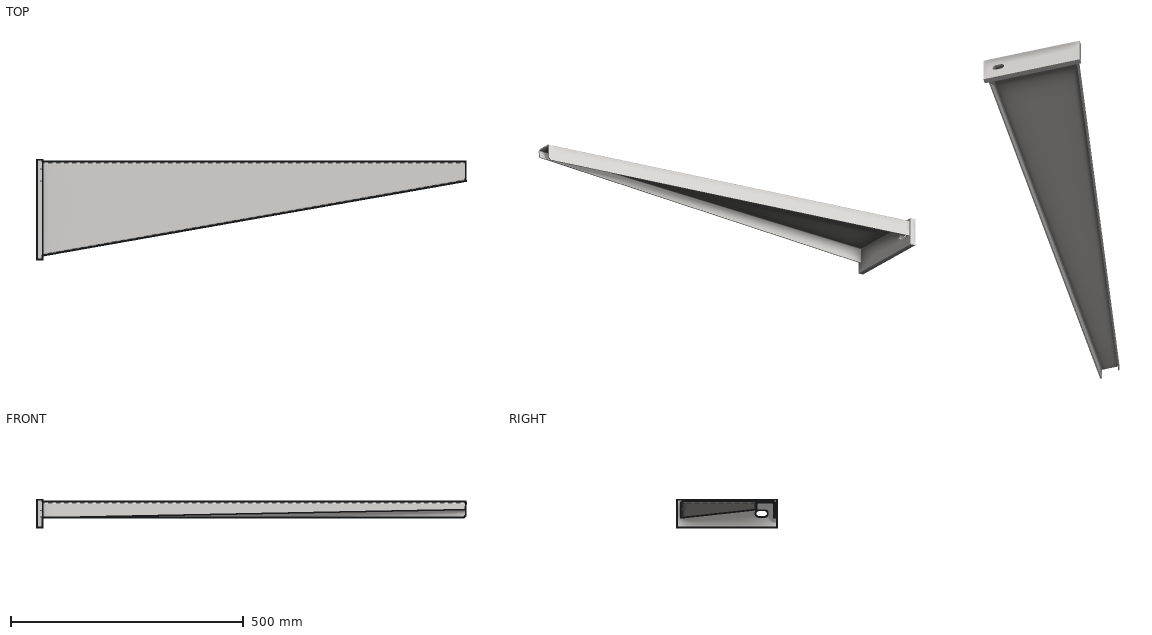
import cadquery as cq
import math

PLATE_THICKNESS = 12.0
PLATE_WIDTH = 215.0
PLATE_HEIGHT = 60.0
SLOT_LENGTH = 26.0
SLOT_HEIGHT = 14.0
SLOT_EDGE_DISTANCE = 33.0

OVERALL_LENGTH = 922.24
WEB_LENGTH = 910.0
SHEET_THICKNESS = 3.0
BEND_RADIUS = 5.0
FLANGE_HEIGHT = 35.0
TIP_FLANGE_HEIGHT = 17.5
TIP_SETBACK = 2.2
CORNER_CHAMFER = 5.0
TAPER_ANGLE = 10.0
ROOT_WIDTH = 202.75
TOP_INSET = 4.0
BACK_INSET = 4.0

taper = math.radians(TAPER_ANGLE)
back_y = PLATE_WIDTH / 2 - BACK_INSET
top_z = PLATE_HEIGHT / 2 - TOP_INSET
root_x = PLATE_THICKNESS
root_front_y = back_y - ROOT_WIDTH
web_end_x = root_x + WEB_LENGTH
slope_length = (OVERALL_LENGTH - root_x) / math.cos(taper)


def make_plate():
    slot_y = PLATE_WIDTH / 2 - SLOT_EDGE_DISTANCE
    plate = cq.Workplane("XY").box(PLATE_THICKNESS, PLATE_WIDTH, PLATE_HEIGHT)
    plate = plate.translate((PLATE_THICKNESS / 2, 0, 0))
    slot = (
        cq.Workplane("YZ")
        .center(slot_y, 0)
        .slot2D(SLOT_LENGTH, SLOT_HEIGHT)
        .extrude(PLATE_THICKNESS)
    )
    return plate.cut(slot)


def bent_flange(length):
    """Flange and bend running along +X from the origin, outer face on y = 0, top on z = 0."""
    inner_radius = BEND_RADIUS - SHEET_THICKNESS
    diagonal = math.sqrt(0.5)
    outer_middle = BEND_RADIUS * (1 - diagonal)
    inner_middle = BEND_RADIUS - inner_radius * diagonal
    return (
        cq.Workplane("YZ")
        .moveTo(0, -FLANGE_HEIGHT)
        .lineTo(0, -BEND_RADIUS)
        .threePointArc((outer_middle, -outer_middle), (BEND_RADIUS, 0))
        .lineTo(BEND_RADIUS, -SHEET_THICKNESS)
        .threePointArc((inner_middle, -inner_middle), (SHEET_THICKNESS, -BEND_RADIUS))
        .lineTo(SHEET_THICKNESS, -FLANGE_HEIGHT)
        .close()
        .extrude(length)
    )


def make_straight_flange():
    flange = bent_flange(web_end_x - root_x).mirror("XZ")
    flange = flange.edges(">X and <Z").chamfer(CORNER_CHAMFER)
    return flange.translate((root_x, back_y, top_z))


def make_sloping_flange():
    run_in = PLATE_THICKNESS
    flange = bent_flange(slope_length + run_in).translate((-run_in, 0, 0))
    flange = flange.rotate((0, 0, 0), (0, 0, 1), TAPER_ANGLE)
    flange = flange.translate((root_x, root_front_y, top_z))

    root_bottom_z = top_z - FLANGE_HEIGHT
    tip_bottom_z = top_z - TIP_FLANGE_HEIGHT
    kept_region = (
        cq.Workplane("XZ")
        .moveTo(root_x, root_bottom_z)
        .lineTo(OVERALL_LENGTH - TIP_SETBACK, tip_bottom_z)
        .lineTo(OVERALL_LENGTH, top_z - BEND_RADIUS)
        .lineTo(OVERALL_LENGTH, top_z)
        .lineTo(root_x, top_z)
        .close()
        .extrude(PLATE_WIDTH / 2, both=True)
    )
    return flange.intersect(kept_region)


def make_web():
    """Flat top of the arm, between the edges of the two bends."""
    root_edge_y = root_front_y + BEND_RADIUS / math.cos(taper)
    tip_edge_y = root_edge_y + (web_end_x - root_x) * math.tan(taper)
    bend_edge_y = back_y - BEND_RADIUS
    return (
        cq.Workplane("XY")
        .workplane(offset=top_z - SHEET_THICKNESS)
        .moveTo(root_x, root_edge_y)
        .lineTo(web_end_x, tip_edge_y)
        .lineTo(web_end_x, bend_edge_y)
        .lineTo(root_x, bend_edge_y)
        .close()
        .extrude(SHEET_THICKNESS)
    )


plate = make_plate()
arm = make_web().union(make_straight_flange()).union(make_sloping_flange())

result = cq.Compound.makeCompound([plate.val(), *arm.vals()])